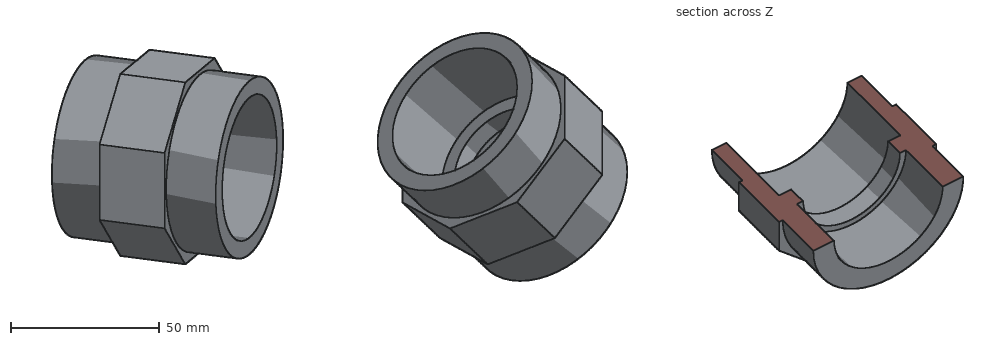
import cadquery as cq

length = 59.5
across_flats = 65.0
collar_width = 23.6
body_diameter = 62.0

through_diameter = 40.0
near_socket_diameter = 44.85
near_socket_depth = 21.5
stop_ring_width = 7.0
far_socket_diameter = 50.0
far_socket_depth = length - near_socket_depth - stop_ring_width

collar_sides = 8


def cylinder_along_x(diameter, start, depth):
    """Cylinder on the X axis, from x = start to x = start + depth."""
    return cq.Workplane("YZ", origin=(start, 0, 0)).circle(diameter / 2).extrude(depth)


def octagonal_collar():
    """Central wrench collar with flats facing Y and Z."""
    return (
        cq.Workplane("YZ", origin=(-collar_width / 2, 0, 0))
        .polygon(collar_sides, across_flats, circumscribed=True)
        .extrude(collar_width)
    )


body = cylinder_along_x(body_diameter, -length / 2, length).union(octagonal_collar())
body = body.cut(cylinder_along_x(through_diameter, -length / 2, length))

body = body.cut(cylinder_along_x(near_socket_diameter, -length / 2, near_socket_depth))
body = body.cut(cylinder_along_x(far_socket_diameter, length / 2 - far_socket_depth, far_socket_depth))

result = body